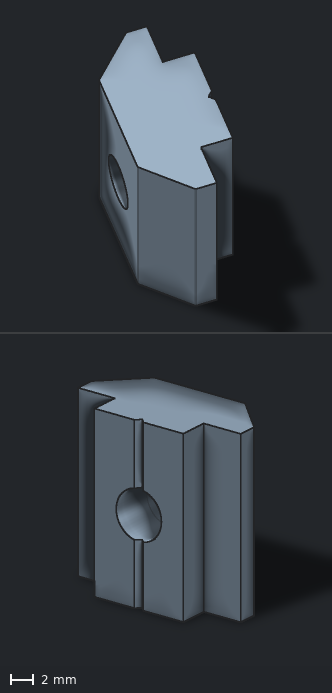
import cadquery as cq

width = 18.0
depth = 9.0
height = 18.0

neck_width = 9.83
neck_depth = 3.0
chamfer = 4.0
corner_radius = 0.2

groove_depth = 0.5

hole_diameter = 5.0

half_width = width / 2
half_neck = neck_width / 2
front_y = -depth / 2
back_y = depth / 2
shoulder_y = back_y - neck_depth
half_front = half_width - chamfer


def make_body():
    """Extrude the T profile along Z and round the edges of its two chamfers."""
    right_side = [
        (half_front, front_y),
        (half_width, front_y + chamfer),
        (half_width, shoulder_y),
        (half_neck, shoulder_y),
        (half_neck, back_y),
        (groove_depth, back_y),
    ]
    left_side = [(-x, y) for x, y in reversed(right_side)]
    groove_bottom = (0, back_y - groove_depth)
    body = (
        cq.Workplane("XY", origin=(0, 0, -height / 2))
        .polyline(right_side + [groove_bottom] + left_side)
        .close()
        .extrude(height)
    )
    chamfer_corners = [
        (side * x, y, 0) for side in (-1, 1) for x, y in right_side[:2]
    ]
    for corner in chamfer_corners:
        body = body.edges(cq.selectors.NearestToPointSelector(corner)).fillet(corner_radius)
    return body


def make_hole():
    """Cylinder running along Y through the centre of the block."""
    return (
        cq.Workplane("XZ")
        .circle(hole_diameter / 2)
        .extrude(depth, both=True)
    )


result = make_body().cut(make_hole())